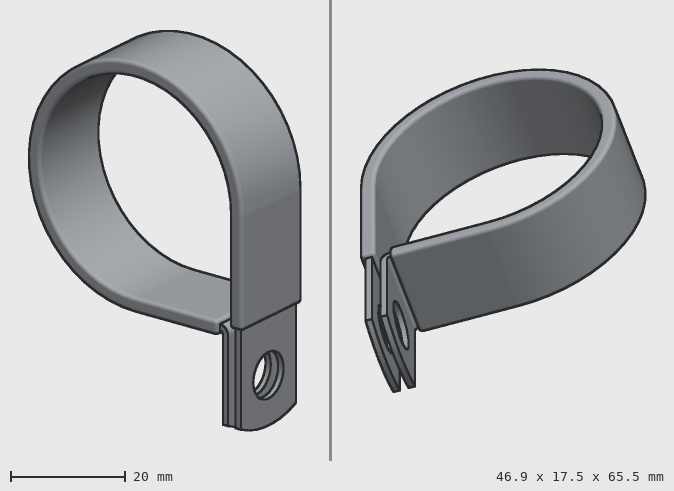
import cadquery as cq
import math

height = 65.45
loop_diameter = 46.9
cover_width = 17.5
strap_width = 16.0
strap_thickness = 1.2
cover_thickness = 0.8
cover_fillet = 0.7
upright_cover_end = 21.4
level_cover_end = 18.05
bend_inner_radius = 0.65
hole_diameter = 8.7
hole_drop = 32.5
tip_sag = 1.75

loop_radius = loop_diameter / 2
strap_outer_radius = loop_radius - cover_thickness
strap_inner_radius = strap_outer_radius - strap_thickness
cover_inner_radius = strap_inner_radius - cover_thickness
bottom = loop_radius - height
bend_outer_radius = bend_inner_radius + strap_thickness
bend_x = level_cover_end
bend_z = -strap_inner_radius - bend_outer_radius
tip_corner = bottom + tip_sag


def band(inner, outer, upright_end, level_end, width):
    """Three-quarter loop with a straight upright leg and a straight level leg."""
    inner_mid = -inner * math.sqrt(0.5)
    outer_mid = -outer * math.sqrt(0.5)
    return (
        cq.Workplane("XZ")
        .moveTo(outer, upright_end)
        .lineTo(outer, 0)
        .threePointArc((outer_mid, -outer_mid), (0, -outer))
        .lineTo(level_end, -outer)
        .lineTo(level_end, -inner)
        .lineTo(0, -inner)
        .threePointArc((inner_mid, -inner_mid), (inner, 0))
        .lineTo(inner, upright_end)
        .close()
        .extrude(width / 2, both=True)
    )


def bent_tab():
    """Quarter bend leaving the level leg, then a straight tab down to the tip."""
    diagonal = math.sqrt(0.5)
    inner_x = bend_x + bend_inner_radius
    outer_x = bend_x + bend_outer_radius
    inner_mid = (bend_x + bend_inner_radius * diagonal, bend_z + bend_inner_radius * diagonal)
    outer_mid = (bend_x + bend_outer_radius * diagonal, bend_z + bend_outer_radius * diagonal)
    return (
        cq.Workplane("XZ")
        .moveTo(bend_x, -strap_inner_radius)
        .threePointArc(outer_mid, (outer_x, bend_z))
        .lineTo(outer_x, bottom)
        .lineTo(inner_x, bottom)
        .lineTo(inner_x, bend_z)
        .threePointArc(inner_mid, (bend_x, -strap_outer_radius))
        .close()
        .extrude(strap_width / 2, both=True)
    )


def tab_outline():
    """Side outline of the strap: straight edges, a curved tip and the bolt hole."""
    half_width = strap_width / 2
    return (
        cq.Workplane("YZ")
        .moveTo(-half_width, loop_radius)
        .lineTo(-half_width, tip_corner)
        .threePointArc((0, bottom), (half_width, tip_corner))
        .lineTo(half_width, loop_radius)
        .close()
        .moveTo(0, -hole_drop)
        .circle(hole_diameter / 2)
        .extrude(loop_radius, both=True)
    )


cover = band(
    cover_inner_radius, loop_radius, -upright_cover_end, level_cover_end, cover_width
).edges().fillet(cover_fillet)

strap = band(strap_inner_radius, strap_outer_radius, bottom, bend_x, strap_width)
strap = strap.union(bent_tab()).intersect(tab_outline())

result = cover.union(strap)